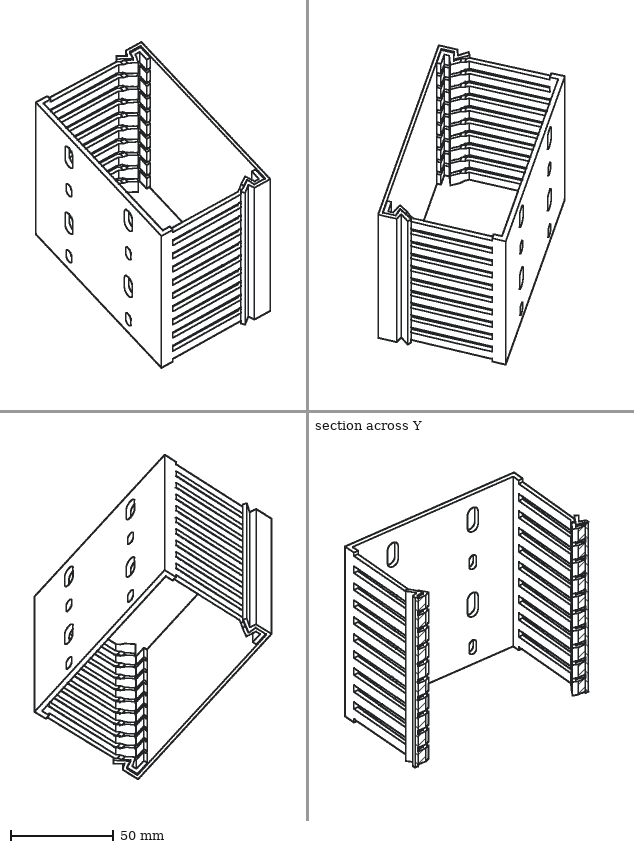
import cadquery as cq

length = 100.0
total_width = 108.4
total_height = 64.7
cover_half_width = total_width / 2
cover_thickness = 1.8

floor_half_width = 52.9
floor_thickness = 2.7
rail_height = 7.0

snap_half_width = cover_half_width - cover_thickness
snap_top = total_height - cover_thickness
wall_inner_half_width = 50.2

tongue_end_x = 44.2
tongue_thickness = 2.2
outer_shoulder_y = 56.3
outer_crest = (47.8, 55.3)
outer_bend_y = 48.3
inner_shoulder_y = 58.2
inner_crest = (44.95, 56.15)
inner_bend_y = 48.0

cover_shoulder_y = 55.15
cover_valley = (50.85, 53.85)
cover_lip_y = 49.5

finger_pitch = 10.0
head_width = 8.0
slat_width = 6.0
head_gap = finger_pitch - head_width
slat_gap = finger_pitch - slat_width
taper_bottom_y = 49.9
taper_top_y = 51.85

slot_x = 25.0
slot_rows = 2
slot_row_pitch = 50.0
large_slot_length = 14.0
large_slot_width = 6.5
large_slot_first_z = 35.0
small_slot_length = 8.0
small_slot_width = 4.5
small_slot_first_z = 10.0


def symmetric_prism(right_half):
    """Extrude along the duct the closed outline made of a right half and its mirror image."""
    left_half = [(-x, y) for x, y in reversed(right_half)]
    return cq.Workplane("XY").polyline(right_half + left_half).close().extrude(length)


contact_outline = [
    (snap_half_width, snap_top),
    (snap_half_width, outer_shoulder_y),
    outer_crest,
    (snap_half_width, outer_bend_y),
]


def make_cover():
    outside = [
        (cover_half_width, cover_lip_y),
        cover_valley,
        (cover_half_width, cover_shoulder_y),
        (cover_half_width, total_height),
    ]
    return symmetric_prism(contact_outline + outside)


def finger_gaps():
    """Gaps between the fingers, with half a gap at each end of the duct."""
    half_outline = [
        (rail_height, slat_gap / 2),
        (taper_bottom_y, slat_gap / 2),
        (taper_top_y, head_gap / 2),
        (total_height, head_gap / 2),
    ]
    other_half = [(y, -z) for y, z in reversed(half_outline)]
    gap = cq.Workplane("YZ").polyline(half_outline + other_half).close().extrude(cover_half_width, both=True)
    gap_count = round(length / finger_pitch) + 1
    return [gap.translate((0, 0, step * finger_pitch)) for step in range(gap_count)]


def mounting_slots(slot_length, slot_width, first_z):
    """Rows of paired slots that pass through the floor."""
    centres = [(x, first_z + row * slot_row_pitch) for x in (-slot_x, slot_x) for row in range(slot_rows)]
    return (
        cq.Workplane("XZ")
        .pushPoints(centres)
        .slot2D(slot_length, slot_width, angle=90)
        .extrude(-floor_thickness)
    )


def make_channel():
    inside = [
        (wall_inner_half_width, floor_thickness),
        (wall_inner_half_width, inner_bend_y),
        inner_crest,
        (wall_inner_half_width, inner_shoulder_y),
        (wall_inner_half_width, snap_top - tongue_thickness),
        (tongue_end_x, snap_top - tongue_thickness),
        (tongue_end_x, snap_top),
    ]
    channel = symmetric_prism(inside + contact_outline + [(floor_half_width, 0)])
    for gap in finger_gaps():
        channel = channel.cut(gap)
    channel = channel.cut(mounting_slots(large_slot_length, large_slot_width, large_slot_first_z))
    return channel.cut(mounting_slots(small_slot_length, small_slot_width, small_slot_first_z))


channel = make_channel()
cover = make_cover()

result = cq.Compound.makeCompound([channel.val(), cover.val()])